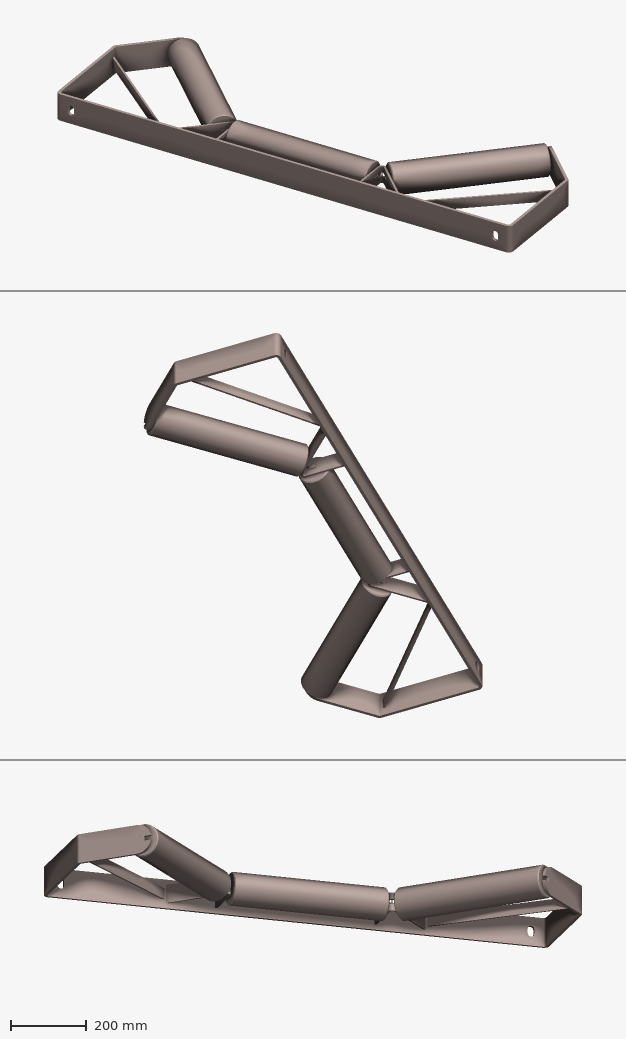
import cadquery as cq
import math


frame_length = 1400.0
plate_width = 80.0
plate_thickness = 8.0
base_bend_radius = 14.0
steep_bend_radius = 11.0
upright_height = 298.0
frame_height = 451.0
trough_angle = math.radians(45)

mount_slot_inset = 48.0
mount_slot_width = 18.0
mount_slot_height = 30.0

roller_diameter = 90.0
roller_length = 428.0
roller_edge_chamfer = 3.0
roller_gap = 4.0
middle_roller_y = 104.0
wing_roller_drop = 139.0

axle_height = 18.0
axle_width = 13.0
slot_reach = 42.0

bracket_width = 50.0
bracket_thickness = 5.0

strut_width = 31.0
strut_thickness = 5.0
strut_top_y = 285.0
strut_foot_x = 364.0

half_length = frame_length / 2
upright_inner_x = half_length - plate_thickness

axis_x = math.cos(trough_angle)
axis_y = math.sin(trough_angle)

arm_outer_distance = half_length * axis_x + upright_height * axis_y
plate_reach = roller_length / 2 + roller_gap
axle_length = 2 * (plate_reach + plate_thickness)
wing_distance = arm_outer_distance - axle_length / 2
bracket_distance = wing_distance - plate_reach

arm_tip_x = (arm_outer_distance - frame_height * axis_y) / axis_x
wing_x = wing_distance * axis_x + wing_roller_drop * axis_y * axis_x
wing_y = wing_distance * axis_y - wing_roller_drop * axis_x * axis_x

middle_frame = cq.Plane(origin=(0, middle_roller_y, 0))
right_frame = cq.Plane(origin=(wing_x, wing_y, 0), xDir=(axis_x, axis_y, 0))
left_frame = cq.Plane(origin=(-wing_x, wing_y, 0), xDir=(axis_x, -axis_y, 0))
roller_frames = [left_frame, middle_frame, right_frame]


def prism(points, width):
    """Extrude a closed XY outline to the given Z width, centred on Z = 0."""
    return cq.Workplane("XY").polyline(points).close().extrude(width / 2, both=True)


def round_edge(body, corner, radius):
    """Round the Z-parallel edge that passes through an XY corner."""
    nearest = cq.selectors.NearestToPointSelector((corner[0], corner[1], 0))
    return body.edges("|Z").edges(nearest).fillet(radius)


def mirrored(points):
    """The points reflected across X = 0, in reverse order."""
    return [(-x, y) for x, y in reversed(points)]


def axle_blank():
    """A flat axle along X, as long as the span over the plates it rests in."""
    return cq.Workplane("XY").box(axle_length, axle_height, axle_width)


def axle_slots(roller_frame):
    """Cutter for the two open slots that one roller's axle drops into."""
    opening = cq.Workplane("XY").center(0, slot_reach / 2).box(axle_length, slot_reach, axle_width)
    return opening.union(axle_blank()).val().moved(cq.Location(roller_frame))


def make_frame():
    """The base, uprights and arms, bent from one strip."""
    thickness_mitre = plate_thickness * math.tan(trough_angle / 2)
    base_corner = (half_length, 0)
    base_inner_corner = (upright_inner_x, plate_thickness)
    arm_corner = (half_length, upright_height)
    arm_inner_corner = (upright_inner_x, upright_height - thickness_mitre)
    tip = (arm_tip_x, frame_height)
    inner_tip = (arm_tip_x - plate_thickness * axis_x, frame_height - plate_thickness * axis_y)
    right_half = [base_corner, arm_corner, tip, inner_tip, arm_inner_corner, base_inner_corner]
    frame = prism(right_half + mirrored(right_half), plate_width)

    bends = [
        (base_corner, base_inner_corner, base_bend_radius),
        (arm_corner, arm_inner_corner, steep_bend_radius),
    ]
    for side in (-1, 1):
        for (x, y), (inner_x, inner_y), radius in bends:
            frame = round_edge(frame, (side * x, y), radius)
            frame = round_edge(frame, (side * inner_x, inner_y), radius - plate_thickness)
        frame = frame.cut(tip_corners(side))

    mount_slots = (
        cq.Workplane("XZ")
        .pushPoints([(side * (half_length - mount_slot_inset), 0) for side in (-1, 1)])
        .slot2D(mount_slot_height, mount_slot_width, 90)
        .extrude(-plate_thickness)
    )
    frame = frame.cut(mount_slots)
    for roller_frame in (left_frame, right_frame):
        frame = frame.cut(axle_slots(roller_frame))
    return frame


def tip_corners(side):
    """Cutter for the two corners outside the full round of one arm tip."""
    radius = plate_width / 2
    arm_face = cq.Plane(
        origin=(side * arm_tip_x, frame_height, 0),
        xDir=(side * axis_y, -axis_x, 0),
        normal=(side * axis_x, axis_y, 0),
    )
    arc_inset = radius * (1 - math.sqrt(0.5))
    upper = (
        cq.Workplane(arm_face)
        .moveTo(0, 0)
        .lineTo(0, radius)
        .lineTo(radius, radius)
        .threePointArc((arc_inset, radius - arc_inset), (0, 0))
        .close()
        .extrude(-plate_thickness)
    )
    return upper.union(upper.mirror("XY"))


def make_bracket(side):
    """An inverted V standing on the base between the middle roller and one wing roller."""
    face_x = plate_reach
    inner_x = face_x + bracket_thickness
    peak = (face_x, (bracket_distance - face_x * axis_x) / axis_y)
    inner_distance = bracket_distance - bracket_thickness
    inner_peak = (inner_x, (inner_distance - inner_x * axis_x) / axis_y)
    base_rise = plate_thickness * axis_y
    outline = [
        (face_x, plate_thickness),
        peak,
        ((bracket_distance - base_rise) / axis_x, plate_thickness),
        ((inner_distance - base_rise) / axis_x, plate_thickness),
        inner_peak,
        (inner_x, plate_thickness),
    ]
    bracket = prism(outline, bracket_width)
    bracket = round_edge(bracket, peak, steep_bend_radius)
    bracket = round_edge(bracket, inner_peak, steep_bend_radius - bracket_thickness)
    bracket = bracket.cut(axle_slots(middle_frame)).cut(axle_slots(right_frame))
    return bracket if side > 0 else bracket.mirror("YZ")


def make_strut(side):
    """A flat bar from the top of one upright down to the base."""
    run = upright_inner_x - strut_foot_x
    rise = strut_top_y - plate_thickness
    slope_length = math.hypot(run, rise)
    outline = [
        (strut_foot_x, plate_thickness),
        (upright_inner_x, strut_top_y),
        (upright_inner_x, strut_top_y - strut_thickness * slope_length / run),
        (strut_foot_x + strut_thickness * slope_length / rise, plate_thickness),
    ]
    strut = prism(outline, strut_width)
    return strut if side > 0 else strut.mirror("YZ")


def make_roller(roller_frame):
    """A roller with its axle; the axle ends sit in the slots."""
    shell = (
        cq.Workplane("YZ", origin=(-roller_length / 2, 0, 0))
        .circle(roller_diameter / 2)
        .extrude(roller_length)
        .edges()
        .chamfer(roller_edge_chamfer)
    )
    return shell.union(axle_blank()).val().moved(cq.Location(roller_frame))


frame = make_frame()
brackets = [make_bracket(side).val() for side in (-1, 1)]
struts = [make_strut(side).val() for side in (-1, 1)]
rollers = [make_roller(roller_frame) for roller_frame in roller_frames]

result = cq.Compound.makeCompound([frame.val(), *brackets, *struts, *rollers])